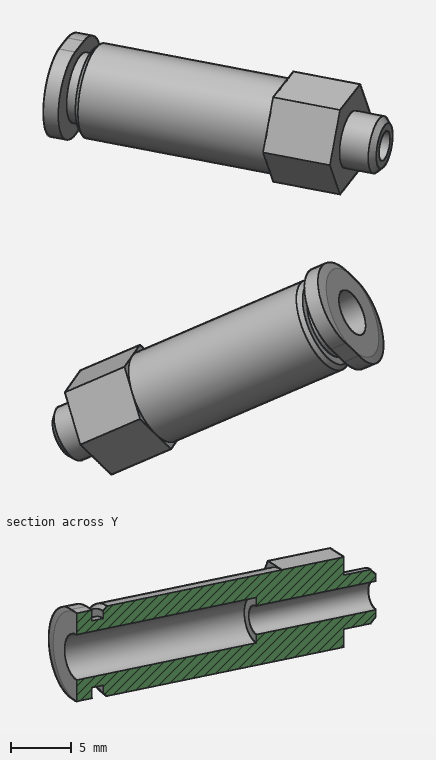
import cadquery as cq
import math

LENGTH = 28.4
FRONT = -LENGTH / 2
FLANGE_THICKNESS = 1.48
NECK_LENGTH = 1.02
HEX_LENGTH = 5.9
STEM_LENGTH = 3.05

FLANGE_WIDTH = 9.8
FLANGE_HEIGHT = 7.85
FACE_DIAMETER = FLANGE_HEIGHT
FACE_TAPER_DEPTH = 0.15

NECK_DIAMETER = 5.95
BODY_DIAMETER = 8.0
BODY_CHAMFER = 0.37
STEM_DIAMETER = 4.83
STEM_CHAMFER = 0.5

HEX_ACROSS_FLATS = BODY_DIAMETER
HEX_ACROSS_CORNERS = HEX_ACROSS_FLATS / math.cos(math.pi / 6)

SOCKET_DIAMETER = 3.98
SOCKET_DEPTH = 17.05
BORE_DIAMETER = 2.5

neck_start = FRONT + FLANGE_THICKNESS
body_start = neck_start + NECK_LENGTH
stem_start = FRONT + LENGTH - STEM_LENGTH
hex_start = stem_start - HEX_LENGTH


def plane_at(x):
    """Workplane across the axis, extruding toward +X."""
    return cq.Workplane("YZ", origin=(x, 0, 0))


def cylinder(x, diameter, length):
    return plane_at(x).circle(diameter / 2).extrude(length)


def make_flange():
    """Oblong plate whose front tapers back outside a flat round face."""
    plate = plane_at(FRONT).slot2D(FLANGE_WIDTH, FLANGE_HEIGHT).extrude(FLANGE_THICKNESS)
    envelope = (
        cq.Workplane("XY")
        .moveTo(FRONT, 0)
        .lineTo(FRONT, FACE_DIAMETER / 2)
        .lineTo(FRONT + FACE_TAPER_DEPTH, FLANGE_WIDTH / 2)
        .lineTo(neck_start, FLANGE_WIDTH / 2)
        .lineTo(neck_start, 0)
        .close()
        .revolve(360, (0, 0, 0), (1, 0, 0))
    )
    return plate.intersect(envelope)


def make_body():
    body = cylinder(body_start, BODY_DIAMETER, hex_start - body_start)
    return body.faces("<X").chamfer(BODY_CHAMFER)


def make_stem():
    stem = cylinder(stem_start, STEM_DIAMETER, STEM_LENGTH)
    return stem.faces(">X").chamfer(STEM_CHAMFER)


neck = cylinder(neck_start, NECK_DIAMETER, NECK_LENGTH)
hexagon = plane_at(hex_start).polygon(6, HEX_ACROSS_CORNERS).extrude(HEX_LENGTH)
socket = cylinder(FRONT, SOCKET_DIAMETER, SOCKET_DEPTH)
bore = cylinder(FRONT, BORE_DIAMETER, LENGTH)

result = (
    make_flange()
    .union(neck)
    .union(make_body())
    .union(hexagon)
    .union(make_stem())
    .cut(socket)
    .cut(bore)
)